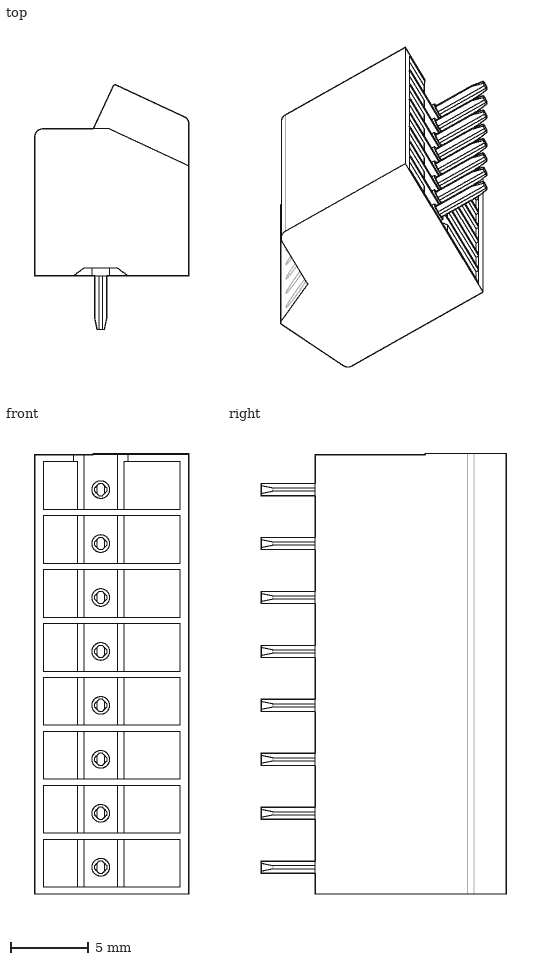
import cadquery as cq
import math

width = 10.0
length = 28.6
body_height = 9.55
cap_overhang = 0.1
body_length = length - cap_overhang
edge_radius = 0.55

tilt = math.radians(25)
seat_start_x = 4.83
seat_end_y = body_height - (width - seat_start_x) * math.tan(tilt)
cap_start_x = 3.8
cap_face_length = 3.2
ridge_radius = 0.15
heel_radius = 0.5

pole_count = 8
first_pole_z = 1.75
pole_x = 4.3

side_rim = 0.57
rib = 0.4
end_rim = 0.45
pitch = (body_length - 2 * end_rim + rib) / pole_count
pocket_length = pitch - rib
pocket_depth = 0.2
channel_depth = 0.51
channel_floor_width = 2.17
channel_mouth_width = 3.55

core_radius = 0.57
pin_length = 3.5
pin_half = 0.4
pin_flat_half = 0.1
tip_length = 0.77
tip_half = 0.243


def prism(points, z_start, z_length):
    """Extrude an XY outline along Z."""
    return cq.Workplane("XY").workplane(offset=z_start).polyline(points).close().extrude(z_length)


def make_body():
    outline = [
        (0, 0),
        (width, 0),
        (width, seat_end_y),
        (seat_start_x, body_height),
        (0, body_height),
    ]
    body = prism(outline, 0, body_length)
    corner = cq.selectors.NearestToPointSelector((0, body_height, body_length / 2))
    return body.edges(corner).fillet(edge_radius)


def make_cap():
    ridge_x = cap_start_x + cap_face_length * math.sin(tilt)
    ridge_y = body_height + cap_face_length * math.cos(tilt)
    heel_y = ridge_y - (width - ridge_x) * math.tan(tilt)
    outline = [
        (cap_start_x, body_height),
        (seat_start_x, body_height),
        (width, seat_end_y),
        (width, heel_y),
        (ridge_x, ridge_y),
    ]
    cap = prism(outline, 0, length)
    for x, y, radius in ((ridge_x, ridge_y, ridge_radius), (width, heel_y, heel_radius)):
        corner = cq.selectors.NearestToPointSelector((x, y, length / 2))
        cap = cap.edges(corner).fillet(radius)
    return cap


def make_channel(z_start, z_length):
    """Trapezoidal groove, widest at the pin side."""
    outline = [
        (pole_x - channel_mouth_width / 2, 0),
        (pole_x + channel_mouth_width / 2, 0),
        (pole_x + channel_floor_width / 2, channel_depth),
        (pole_x - channel_floor_width / 2, channel_depth),
    ]
    return prism(outline, z_start, z_length)


def make_pocket(z_start):
    pocket_width = width - 2 * side_rim
    pocket = cq.Workplane("XY").box(pocket_width, pocket_depth, pocket_length, centered=False)
    return pocket.translate((side_rim, 0, z_start)).union(make_channel(z_start, pocket_length))


def make_pin(z):
    """Collar standing on the channel floor and a pin with its tip tapered in X."""
    collar = (
        cq.Workplane("XZ", origin=(pole_x, channel_depth, z))
        .circle(core_radius)
        .extrude(channel_depth)
    )
    section = [
        (pin_half, pin_flat_half),
        (pin_flat_half, pin_half),
        (-pin_flat_half, pin_half),
        (-pin_half, pin_flat_half),
        (-pin_half, -pin_flat_half),
        (-pin_flat_half, -pin_half),
        (pin_flat_half, -pin_half),
        (pin_half, -pin_flat_half),
    ]
    bar = cq.Workplane("XZ", origin=(pole_x, 0, z)).polyline(section).close().extrude(pin_length)
    taper = [
        (pole_x - pin_half, 0),
        (pole_x - pin_half, tip_length - pin_length),
        (pole_x - tip_half, -pin_length),
        (pole_x + tip_half, -pin_length),
        (pole_x + pin_half, tip_length - pin_length),
        (pole_x + pin_half, 0),
    ]
    return collar.union(bar.intersect(prism(taper, z - pin_half, 2 * pin_half)))


def make_entry_core(z, cap_solid):
    """Round core along Y that ends flush with the cap's slanted entry face."""
    core = (
        cq.Workplane("XZ", origin=(pole_x, body_height, z))
        .circle(core_radius)
        .extrude(-cap_face_length)
    )
    return core.intersect(cap_solid)


cap = make_cap()
result = make_body().union(cap)

for pole in range(pole_count):
    result = result.cut(make_pocket(end_rim + pole * pitch))

result = result.cut(make_channel(body_length - end_rim, end_rim))

pole_positions = [first_pole_z + pole * pitch for pole in range(pole_count)]
for pole_z in pole_positions:
    result = result.union(make_pin(pole_z))

for pole_z in pole_positions:
    result = result.union(make_entry_core(pole_z, cap), clean=False)